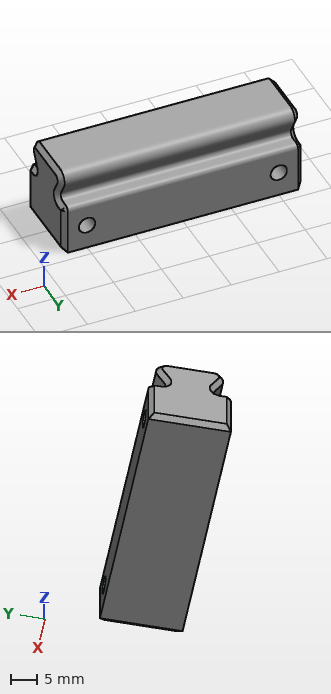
import cadquery as cq
import math

length = 50.0
base_width = 16.0
height = 17.5

shoulder_height = 10.6
shoulder_radius = 1.0
head_width = 13.0
head_radius = 2.0
groove_radius = 1.0
flank_angle = math.radians(30)

end_chamfer = 1.0
hole_diameter = 3.4
hole_inset = 5.0
hole_height = shoulder_height / 2


def half_section():
    """Right half of the cross-section, in (Y, Z), with sharp shoulder corners."""
    cos_a = math.cos(flank_angle)
    sin_a = math.sin(flank_angle)
    head_y = head_width / 2 - head_radius
    head_z = height - head_radius
    groove_z = shoulder_height + groove_radius

    flank_top = (head_y + head_radius * cos_a, head_z - head_radius * sin_a)
    flank_bottom_z = groove_z + groove_radius * sin_a
    flank_bottom_y = flank_top[0] - (flank_top[1] - flank_bottom_z) * math.tan(flank_angle)
    groove_y = flank_bottom_y + groove_radius * cos_a

    return (
        cq.Workplane("YZ", origin=(-length / 2, 0, 0))
        .moveTo(0, 0)
        .lineTo(base_width / 2, 0)
        .lineTo(base_width / 2, shoulder_height)
        .lineTo(groove_y, shoulder_height)
        .threePointArc((groove_y - groove_radius, groove_z), (flank_bottom_y, flank_bottom_z))
        .lineTo(*flank_top)
        .threePointArc((head_y + head_radius, head_z), (head_y, height))
        .lineTo(0, height)
        .close()
    )


half_bar = half_section().extrude(length)
bar = half_bar.union(half_bar.mirror("XZ")).clean()

for side in (-1, 1):
    corner = (0, side * base_width / 2, shoulder_height)
    bar = bar.edges(cq.selectors.NearestToPointSelector(corner)).fillet(shoulder_radius)

bar = bar.faces("<X or >X").edges().chamfer(end_chamfer)

holes = (
    cq.Workplane("XZ", origin=(0, 0, hole_height))
    .pushPoints([(side * (length / 2 - hole_inset), 0) for side in (-1, 1)])
    .circle(hole_diameter / 2)
    .extrude(base_width, both=True)
)
result = bar.cut(holes)